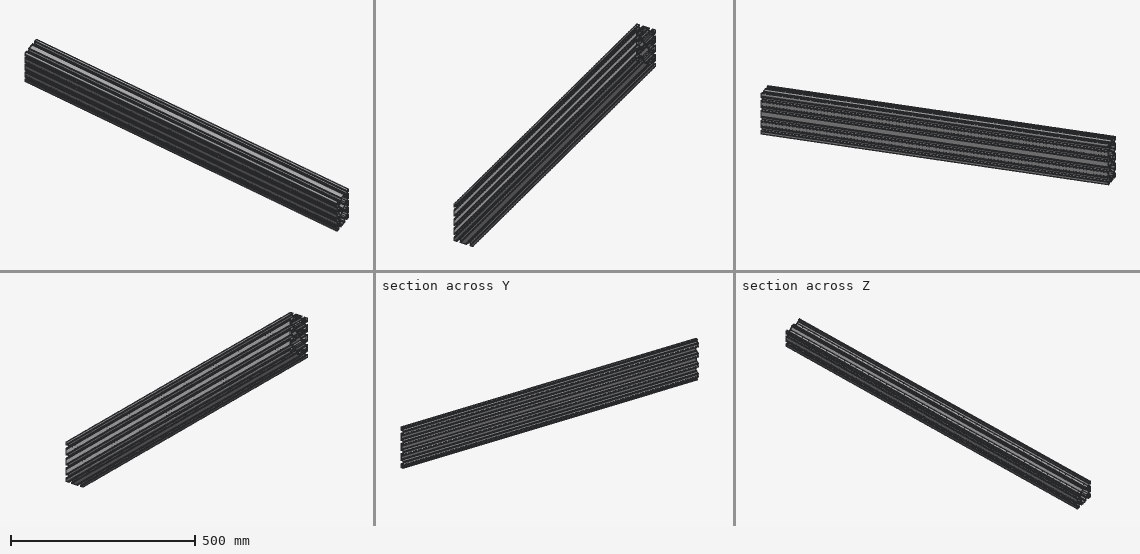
import cadquery as cq

length = 1000.0
cell = 30.0
columns = 2
rows = 4
corner_radius = 2.5

slot_opening = 10.0
slot_inner_width = 16.0
slot_depth = 9.5
lip_thickness = 2.0

core_hole_diameter = 7.0
core_chamfer = 3.0
web_offset = 1.5

outer_wall = 3.5
outer_flat_width = 9.0
middle_wall = 5.0
middle_flat_width = 10.0

centre_block_half = 5.0
centre_flat_width = 4.0
centre_hole_diameter = 4.0

width = columns * cell
height = rows * cell
core_gap = slot_depth
web_core_joint = core_gap + web_offset
outer_flat = outer_flat_width / 2
middle_flat = middle_flat_width / 2
centre_flat = centre_flat_width / 2


def mirrored_in_y(points):
    """Complete an outline whose right half (Y > 0) is given."""
    return points + [(-y, z) for y, z in reversed(points)]


def mirrored_in_z(points):
    """Complete an outline whose upper half (Z > 0) is given."""
    return points + [(y, -z) for y, z in reversed(points)]


def centred(count):
    """Centre positions of a row of cells laid out symmetrically about zero."""
    return [(i - (count - 1) / 2) * cell for i in range(count)]


def slot_outline():
    """T-slot centred on Y = 0, open at Z = 0 and running down to the core."""
    opening = slot_opening / 2
    inner = slot_inner_width / 2
    shoulder = cell / 2 - inner - web_offset
    floor = cell / 2 - slot_depth - web_offset
    right = [
        (opening, 0),
        (opening, -lip_thickness),
        (inner, -lip_thickness),
        (inner, -shoulder),
        (floor, -slot_depth),
    ]
    return mirrored_in_y(right)


def slotted_side(count, distance):
    """Points along a top side at Z = distance, from its right corner through all its slots."""
    points = [(count * cell / 2, distance)]
    for centre in reversed(centred(count)):
        points += [(y + centre, z + distance) for y, z in slot_outline()]
    return points


def bar_outline():
    """Outer outline with the slots of all four sides, running anticlockwise from the top right."""
    top = slotted_side(columns, height / 2)
    left = [(-z, y) for y, z in slotted_side(rows, width / 2)]
    half = top + left
    return half + [(-y, -z) for y, z in half]


def large_chamber_outline():
    """Chamber among the four upper cores, with flats at the three outer walls and the centre."""
    side = width / 2
    top = height / 2
    mid = top / 2
    shoulder = outer_flat + web_offset
    right = [
        (outer_flat, top - outer_wall),
        (outer_flat, top - shoulder),
        (core_gap, top - web_core_joint),
        (core_gap, mid + core_gap + core_chamfer),
        (core_gap + core_chamfer, mid + core_gap),
        (side - web_core_joint, mid + core_gap),
        (side - shoulder, mid + outer_flat),
        (side - outer_wall, mid + outer_flat),
        (side - outer_wall, mid - outer_flat),
        (side - shoulder, mid - outer_flat),
        (side - web_core_joint, mid - core_gap),
        (core_gap + core_chamfer, mid - core_gap),
        (core_gap, mid - core_gap - core_chamfer),
        (core_gap, web_core_joint),
        (centre_flat, centre_block_half),
    ]
    return mirrored_in_y(right)


def small_chamber_outline():
    """Chamber at mid height between the centre block and the right-hand wall."""
    side = width / 2
    upper = [
        (centre_block_half, centre_flat),
        (web_core_joint, core_gap),
        (side - web_core_joint, core_gap),
        (side - middle_flat - web_offset, middle_flat),
        (side - middle_wall, middle_flat),
    ]
    return mirrored_in_z(upper)


section = cq.Workplane("YZ", origin=(-length / 2, 0, 0)).polyline(bar_outline()).close()
for chamber in (large_chamber_outline(), small_chamber_outline()):
    opposite = [(-y, -z) for y, z in chamber]
    section = section.polyline(chamber).close().polyline(opposite).close()
core_centres = [(y, z) for y in centred(columns) for z in centred(rows)]
section = section.pushPoints(core_centres).circle(core_hole_diameter / 2)
section = section.pushPoints([(0, 0)]).circle(centre_hole_diameter / 2)
bar = section.extrude(length)

for y in (-width / 2, width / 2):
    for z in (-height / 2, height / 2):
        corner = cq.selectors.NearestToPointSelector((0, y, z))
        bar = bar.edges(corner).fillet(corner_radius)

result = bar